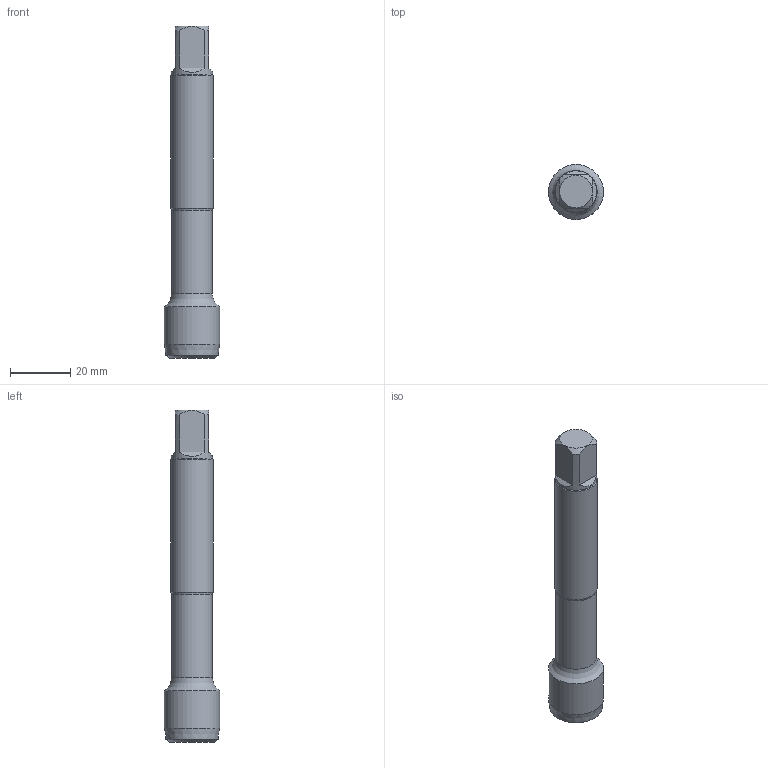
import cadquery as cq
import math


total_length = 110.0
foot_chamfer_height = 0.9
taper_top = 4.5
socket_top = 17.0
grip_bottom = 49.6
grip_top = 93.6
flat_bottom = 96.0
tip_chamfer_height = 1.5

foot_radius = 7.4
taper_radius = 8.65
socket_radius = 18.24 / 2
neck_radius = 13.5 / 2
grip_radius = 14.0 / 2
drive_radius = 13.7 / 2
tip_radius = 5.4

drive_width = 11.0

socket_blend = 5.0
grip_lower_blend = 1.0
grip_upper_blend = 0.5


def blend_height(blend, step):
    """Height over which a concave blend grows outward by the given step."""
    return math.sqrt(blend**2 - (blend - step) ** 2)


def tangent_arc_middle(start_radius, start_z, end_radius, end_z):
    """Middle of the concave arc that leaves the start point parallel to the axis."""
    step = end_radius - start_radius
    rise = end_z - start_z
    radius = (step**2 + rise**2) / (2 * step)
    half_angle = math.asin(abs(rise) / radius) / 2
    middle_radius = start_radius + radius * (1 - math.cos(half_angle))
    middle_z = start_z + math.copysign(radius * math.sin(half_angle), rise)
    return middle_radius, middle_z


def build_round_shank():
    """Revolve the stepped outline about the Z axis."""
    neck_bottom = socket_top + blend_height(socket_blend, socket_radius - neck_radius)
    neck_top = grip_bottom - blend_height(grip_lower_blend, grip_radius - neck_radius)
    drive_bottom = grip_top + blend_height(grip_upper_blend, grip_radius - drive_radius)

    socket_middle = tangent_arc_middle(neck_radius, neck_bottom, socket_radius, socket_top)
    lower_middle = tangent_arc_middle(neck_radius, neck_top, grip_radius, grip_bottom)
    upper_middle = tangent_arc_middle(drive_radius, drive_bottom, grip_radius, grip_top)

    outline = (
        cq.Workplane("XZ")
        .moveTo(0, 0)
        .lineTo(foot_radius, 0)
        .lineTo(taper_radius, foot_chamfer_height)
        .lineTo(socket_radius, taper_top)
        .lineTo(socket_radius, socket_top)
        .threePointArc(socket_middle, (neck_radius, neck_bottom))
        .lineTo(neck_radius, neck_top)
        .threePointArc(lower_middle, (grip_radius, grip_bottom))
        .lineTo(grip_radius, grip_top)
        .threePointArc(upper_middle, (drive_radius, drive_bottom))
        .lineTo(drive_radius, total_length - tip_chamfer_height)
        .lineTo(tip_radius, total_length)
        .lineTo(0, total_length)
        .close()
    )
    return outline.revolve(360, (0, 0, 0), (0, 1, 0))


def build_flat_cutter():
    """Cutter for the +X flat; its underside runs out through the shank at 45 degrees."""
    flat_x = drive_width / 2
    reach = drive_radius
    return (
        cq.Workplane("XZ")
        .moveTo(flat_x, flat_bottom)
        .lineTo(flat_x, total_length)
        .lineTo(flat_x + reach, total_length)
        .lineTo(flat_x + reach, flat_bottom - reach)
        .close()
        .extrude(drive_radius, both=True)
    )


def build_shank():
    shank = build_round_shank()
    cutter = build_flat_cutter()
    for angle in (0, 90, 180, 270):
        shank = shank.cut(cutter.rotate((0, 0, 0), (0, 0, 1), angle))
    return shank


shank = build_shank()

result = cq.Compound.makeCompound([shank.val()])